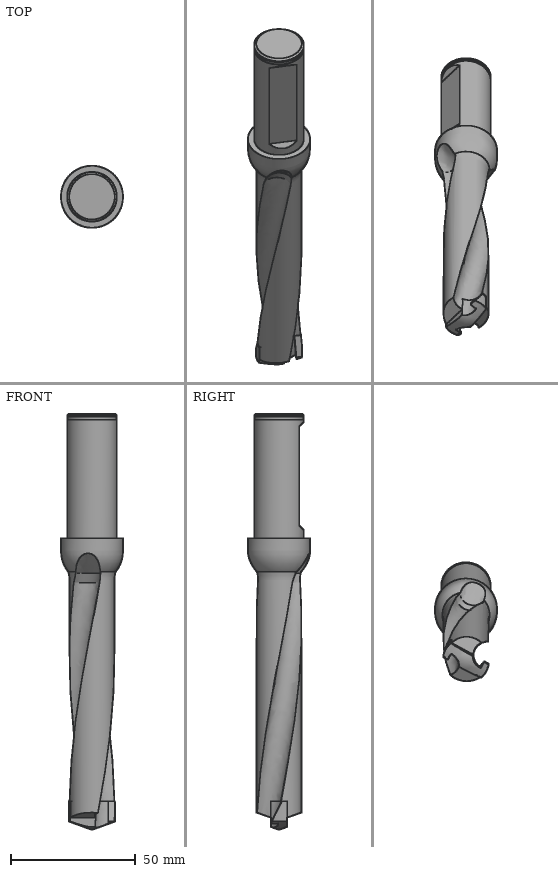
import cadquery as cq
import math

shank_diameter = 20.0
shank_length = 50.0
flange_diameter = 25.0
flange_thickness = 5.0
overall_length = 167.0
body_diameter = 18.14
insert_diameter = 18.6
insert_thickness = 6.5
insert_height = 11.5
body_end_below_insert_top = 4.5
point_angle = 140.0

chamfer_width = 0.9
chamfer_height = 0.7
groove_top_depth = 1.3
groove_height = 1.2
groove_depth = 0.1
flat_depth = 1.8
flat_end_margin = 3.3

shoulder_height = 8.5
shoulder_radius = 13.5
neck_height = 3.3

flute_count = 2
flute_lead = 300.0
flute_arc_radius = 5.6
flute_web_radius = 3.0
flute_start_angle = -107.0
flute_start_below_neck = 1.0

bend_height = 3.8
bend_angle = 22.0
runout_height = 14.0
runout_angle = 44.0
runout_skew = 0.26

gash_width = 2.7
gash_height = 8.0
gash_top_y = 1.1
gash_bottom_y = -2.9

shank_radius = shank_diameter / 2
flange_radius = flange_diameter / 2
body_radius = body_diameter / 2
insert_radius = insert_diameter / 2
point_slope = math.tan(math.radians(90 - point_angle / 2))

tip_z = shank_length - overall_length
insert_top_z = tip_z + insert_height
body_end_z = insert_top_z - body_end_below_insert_top
shoulder_top_z = -flange_thickness
neck_top_z = shoulder_top_z - shoulder_height
neck_bottom_z = neck_top_z - neck_height
flute_arc_centre = flute_web_radius + flute_arc_radius
flute_start_z = neck_bottom_z - flute_start_below_neck


def shoulder_radius_at(drop):
    """Radius of the convex shoulder at a distance below the flange."""
    return flange_radius - shoulder_radius + math.sqrt(shoulder_radius**2 - drop**2)


def neck_radius_at(drop):
    """Radius of the concave neck at a distance below the shoulder; it meets the body tangentially."""
    inset = shoulder_radius_at(shoulder_height) - body_radius
    neck_arc_radius = (neck_height**2 + inset**2) / (2 * inset)
    rise = neck_height - drop
    return body_radius + neck_arc_radius - math.sqrt(neck_arc_radius**2 - rise**2)


def make_blank():
    """Turned blank: shank, flange, shoulder, neck and cylindrical body."""
    groove_top_z = shank_length - groove_top_depth
    groove_bottom_z = groove_top_z - groove_height
    groove_radius = shank_radius - groove_depth
    return (
        cq.Workplane("XZ")
        .moveTo(0, shank_length)
        .lineTo(shank_radius - chamfer_width, shank_length)
        .lineTo(shank_radius, shank_length - chamfer_height)
        .lineTo(shank_radius, groove_top_z)
        .lineTo(groove_radius, groove_top_z)
        .lineTo(groove_radius, groove_bottom_z)
        .lineTo(shank_radius, groove_bottom_z)
        .lineTo(shank_radius, 0)
        .lineTo(flange_radius, 0)
        .lineTo(flange_radius, shoulder_top_z)
        .threePointArc(
            (shoulder_radius_at(shoulder_height / 2), shoulder_top_z - shoulder_height / 2),
            (shoulder_radius_at(shoulder_height), neck_top_z),
        )
        .threePointArc(
            (neck_radius_at(neck_height / 2), neck_top_z - neck_height / 2),
            (body_radius, neck_bottom_z),
        )
        .lineTo(body_radius, tip_z)
        .lineTo(0, tip_z)
        .close()
        .revolve(360, (0, 0), (0, 1))
    )


def make_clamping_flat():
    """Cutter for the flat along the +Y side of the shank, with 45 degree end ramps."""
    floor_y = shank_radius - flat_depth
    return (
        cq.Workplane("YZ")
        .moveTo(shank_radius, flat_end_margin)
        .lineTo(floor_y, flat_end_margin + flat_depth)
        .lineTo(floor_y, shank_length - flat_end_margin - flat_depth)
        .lineTo(shank_radius, shank_length - flat_end_margin)
        .close()
        .extrude(shank_radius, both=True)
    )


def make_helix():
    """Twisted stretch of a flute; its section at the start height is centred on the +X axis."""
    length = flute_start_z - tip_z
    twist = 360 * length / flute_lead
    return (
        cq.Workplane("XY", origin=(0, 0, tip_z))
        .pushPoints([(flute_arc_centre, 0)])
        .circle(flute_arc_radius)
        .twistExtrude(length, twist)
        .rotate((0, 0, 0), (0, 0, 1), -twist)
    )


def make_runout():
    """Oblique prisms that carry the flute section upward and outward, the upper one leaning more."""
    stretches = [(bend_height, bend_angle), (runout_height, runout_angle)]
    foot = cq.Vector(flute_arc_centre, 0, flute_start_z)
    prisms = []
    for height, angle in stretches:
        lean = math.tan(math.radians(angle))
        travel = cq.Vector(height * lean, height * runout_skew, height)
        section = cq.Wire.makeCircle(flute_arc_radius, foot, cq.Vector(0, 0, 1))
        prisms.append(cq.Workplane(cq.Solid.extrudeLinear(section, [], travel)))
        foot = foot + travel
    return prisms


def cut_around(solid, cutters, start_angle):
    """Cut copies of the cutters, evenly spaced about Z, out of a solid."""
    for index in range(flute_count):
        angle = start_angle + index * 360 / flute_count
        for cutter in cutters:
            solid = solid.cut(cutter.rotate((0, 0, 0), (0, 0, 1), angle))
    return solid


def make_body_end():
    """Cutter that trims the body end to a roof, highest at the +Y and -Y sides."""
    ridge_z = body_end_z - body_radius * point_slope
    return (
        cq.Workplane("YZ")
        .moveTo(-body_radius, body_end_z)
        .lineTo(0, ridge_z)
        .lineTo(body_radius, body_end_z)
        .lineTo(body_radius, tip_z)
        .lineTo(-body_radius, tip_z)
        .close()
        .extrude(body_radius, both=True)
    )


def make_insert_blank():
    """Flat blade with a round edge and a conical point."""
    corner_z = tip_z + insert_radius * point_slope
    round_blank = (
        cq.Workplane("XZ")
        .moveTo(0, tip_z)
        .lineTo(insert_radius, corner_z)
        .lineTo(insert_radius, insert_top_z)
        .lineTo(0, insert_top_z)
        .close()
        .revolve(360, (0, 0), (0, 1))
    )
    blade = cq.Workplane("XY", origin=(0, 0, tip_z)).box(
        insert_diameter, insert_thickness, insert_height, centered=(True, True, False)
    )
    return round_blank.intersect(blade)


def make_gash():
    """Wedge cutter for the rake face at the +X end of the insert, open toward -Y."""
    return (
        cq.Workplane("YZ", origin=(insert_radius - gash_width, 0, 0))
        .moveTo(gash_top_y, insert_top_z)
        .lineTo(gash_bottom_y, insert_top_z - gash_height)
        .lineTo(-insert_thickness, insert_top_z - gash_height)
        .lineTo(-insert_thickness, insert_top_z)
        .close()
        .extrude(2 * gash_width)
    )


def make_holder():
    """Shank, flange and fluted body in one piece, slotted at the end for the insert."""
    slot = cq.Workplane("XY", origin=(0, 0, tip_z)).box(
        flange_diameter, insert_thickness, insert_height, centered=(True, True, False)
    )
    blank = make_blank().cut(make_clamping_flat()).cut(make_body_end()).cut(slot)
    return cut_around(blank, [make_helix(), *make_runout()], flute_start_angle)


def make_insert():
    """Cutting insert: flutes cross its middle, and a gash forms the rake face on each end."""
    middle = cq.Workplane("XY", origin=(0, 0, tip_z)).box(
        2 * (insert_radius - gash_width), flange_diameter, insert_height, centered=(True, True, False)
    )
    blank = make_insert_blank()
    core = cut_around(blank.intersect(middle), [make_helix()], flute_start_angle)
    ends = cut_around(blank.cut(middle), [make_gash()], 0)
    return core.union(ends)


holder = make_holder()
insert = make_insert()
result = cq.Compound.makeCompound([holder.solids().val(), insert.solids().val()])